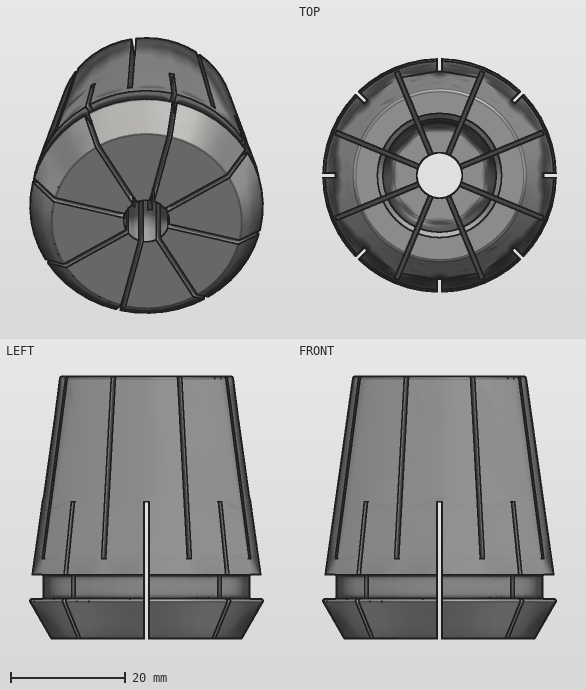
import cadquery as cq
import math

height = 46.0
lip_top_z = 6.95
groove_top_z = 11.2
bore_floor_z = 28.0

lip_radius = 20.444
groove_radius = 18.1
cone_large_radius = 20.05
cone_half_angle = math.radians(8.0)
cone_small_radius = cone_large_radius - (height - groove_top_z) * math.tan(cone_half_angle)

rim_fillet = 0.5
lip_fillet = 0.35
base_fillet = 0.2
groove_fillet = 0.3

lip_cone_half_angle = math.radians(30.0)
lip_corner_reach = lip_fillet * (1 / math.tan((math.pi / 2 - lip_cone_half_angle) / 2) - 1)
lip_corner_radius = lip_radius + lip_corner_reach
base_radius = lip_corner_radius - lip_top_z * math.tan(lip_cone_half_angle)

hole_diameter = 7.94
bore_radius = 9.95
bore_floor_fillet = 1.9
bore_mouth_radius = 10.9
bore_mouth_depth = 1.4

slot_count = 8
slot_width = 0.8
lower_slot_top_z = 24.0
upper_slot_floor_z = 14.0


def make_body():
    """Revolved collet with its retaining groove, stepped bore and tapered bore mouth."""
    hole_radius = hole_diameter / 2
    fillet_center_r = bore_radius - bore_floor_fillet
    fillet_center_z = bore_floor_z + bore_floor_fillet
    fillet_mid = bore_floor_fillet * math.sqrt(0.5)
    profile = (
        cq.Workplane("XZ")
        .moveTo(hole_radius, 0)
        .lineTo(base_radius, 0)
        .lineTo(lip_corner_radius, lip_top_z)
        .lineTo(groove_radius, lip_top_z)
        .lineTo(groove_radius, groove_top_z)
        .lineTo(cone_large_radius, groove_top_z)
        .lineTo(cone_small_radius, height)
        .lineTo(bore_mouth_radius, height)
        .lineTo(bore_radius, height - bore_mouth_depth)
        .lineTo(bore_radius, fillet_center_z)
        .threePointArc(
            (fillet_center_r + fillet_mid, fillet_center_z - fillet_mid),
            (fillet_center_r, bore_floor_z),
        )
        .lineTo(hole_radius, bore_floor_z)
        .close()
    )
    return profile.revolve(360, (0, 0, 0), (0, 1, 0))


def round_circle(body, radius, z, fillet):
    """Fillet the circular edge that has this radius and lies at this level."""
    tolerance = 0.001
    edge = body.edges("%CIRCLE").filter(
        lambda e: abs(e.radius() - radius) < tolerance and abs(e.Center().z - z) < tolerance
    )
    return edge.fillet(fillet)


def round_edges(body):
    """Round the small end of the cone, the lip, the base and both inner corners of the groove."""
    body = round_circle(body, cone_small_radius, height, rim_fillet)
    body = round_circle(body, lip_corner_radius, lip_top_z, lip_fillet)
    body = round_circle(body, groove_radius, lip_top_z, groove_fillet)
    body = round_circle(body, groove_radius, groove_top_z, groove_fillet)
    body = round_circle(body, base_radius, 0, base_fillet)
    return body


def make_slots(bottom_z, top_z, first_angle):
    """Ring of radial slots that run from the axis out through the wall."""
    slot = cq.Workplane("XY").box(
        2 * lip_radius, slot_width, top_z - bottom_z, centered=(False, True, False)
    )
    slot = slot.translate((0, 0, bottom_z))
    pitch = 360 / slot_count
    slots = cq.Workplane("XY")
    for index in range(slot_count):
        slots = slots.add(slot.rotate((0, 0, 0), (0, 0, 1), first_angle + index * pitch))
    return slots.combine()


lower_slots = make_slots(0, lower_slot_top_z, 0)
upper_slots = make_slots(upper_slot_floor_z, height, 180 / slot_count)
result = round_edges(make_body()).cut(lower_slots).cut(upper_slots)